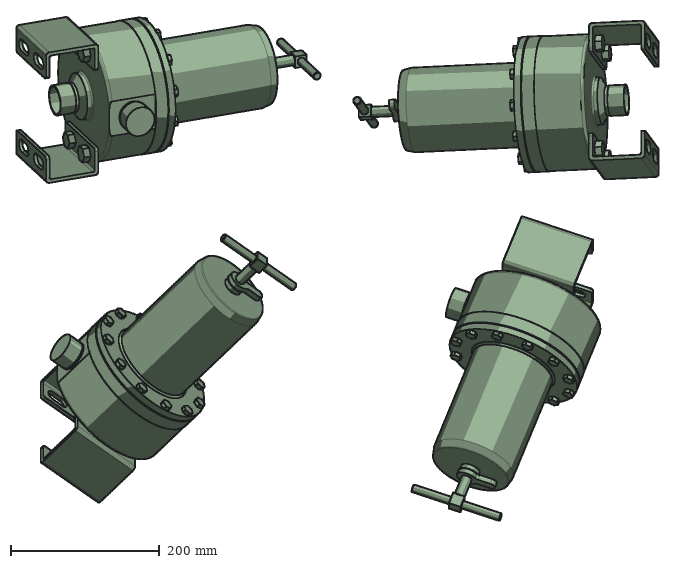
import cadquery as cq
import math


full_turn = 360

body_radius = 91.0
body_top = 67.5
body_edge_radius = 4.0
port_flat_x = 87.5
flange_radius = 91.5
flange_thickness = 17.0
gasket_radius = 91.0
gasket_thickness = 1.0
cover_thickness = 9.5

canister_radius = 57.0
canister_end_radius = 54.5
canister_shoulder = 249.3
canister_top = 261.0
canister_base_chamfer = 2.8
canister_edge_radius = 1.0

hex_sides = 6
hex_half_step = 180 / hex_sides

cover_bolt_count = 12
cover_bolt_circle_radius = 83.5
cover_bolt_across_corners = 15.0
cover_bolt_height = 5.5

boss_radius = 13.0
boss_height = 7.0
lever_thickness = 7.5
lever_hub_radius = 14.5
lever_half_width = 6.8
lever_reach = 40.5
lever_root_radius = 5.5
stem_radius = 7.0
handle_block = 16.8
handle_top = 322.8
rod_diameter = 10.8
rod_length = 126.2
rod_chamfer = 0.8
rod_offset = 0.5

pipe_radius = 20.8
port_end_x = 111.5
port_y = 35.0
pipe_neck_radius = 20.5
port_neck_length = 2.5
nozzle_length = 42.0
nozzle_bore_radius = 18.8
nozzle_base_radius = 32.0
nozzle_base_length = 8.0
nozzle_base_fillet = 2.5
nozzle_cone_end = 15.0
nozzle_neck_end = 19.5

bracket_width = 102.0
bracket_depth = 76.5
bracket_height = 38.7
bracket_span = 191.5
bracket_thickness = 5.0
bend_outer_radius = 4.8
bend_inner_radius = 3.0
bracket_corner_radius = 4.0
mount_spacing = 50.7
mount_z = 73.5
slot_length = 32.5
slot_width = 16.8
mount_bolt_across_flats = 20.0
mount_bolt_height = 9.5

gasket_bottom = body_top + flange_thickness
cover_bottom = gasket_bottom + gasket_thickness
cover_top = cover_bottom + cover_thickness
boss_top = canister_top + boss_height
lever_top = boss_top + lever_thickness
bracket_outer_z = bracket_span / 2


def plane_at(y):
    """Plane across the main axis: local x is X, local y is Z, normal is -Y."""
    return cq.Workplane("XZ", origin=(0, y, 0))


def disc(radius, y_start, y_end):
    return plane_at(y_start).circle(radius).extrude(y_start - y_end)


def make_body():
    body = disc(body_radius, 0, body_top).faces("<Y").edges().fillet(body_edge_radius)
    flat_cut = cq.Workplane("XY").box(
        body_radius, body_top, 2 * body_radius, centered=(False, False, True)
    )
    body = body.cut(flat_cut.translate((port_flat_x, 0, 0)))
    flange = disc(flange_radius, body_top, gasket_bottom)
    gasket = disc(gasket_radius, gasket_bottom, cover_bottom)
    cover = disc(flange_radius, cover_bottom, cover_top)
    return body.union(flange).union(gasket).union(cover)


def make_canister():
    profile = [
        (0, cover_top),
        (canister_radius + canister_base_chamfer, cover_top),
        (canister_radius, cover_top + canister_base_chamfer),
        (canister_radius, canister_shoulder),
        (canister_end_radius, canister_top),
        (0, canister_top),
    ]
    canister = cq.Workplane("XY").polyline(profile).close().revolve(full_turn, (0, 0), (0, 1))
    return canister.faces(">Y").edges().fillet(canister_edge_radius)


def make_cover_bolts():
    step = full_turn / cover_bolt_count
    bolt = (
        plane_at(cover_top)
        .center(cover_bolt_circle_radius, 0)
        .transformed(rotate=(0, 0, hex_half_step))
        .polygon(hex_sides, cover_bolt_across_corners)
        .extrude(-cover_bolt_height)
    )
    bolts = cq.Workplane("XY")
    for index in range(cover_bolt_count):
        bolts = bolts.add(bolt.rotate((0, 0, 0), (0, 1, 0), (index + 0.5) * step))
    return bolts.combine()


def make_lever():
    """Round hub with a round-ended arm toward -X, blended into the hub."""
    hub = disc(lever_hub_radius, boss_top, lever_top)
    arm_end_x = lever_half_width - lever_reach
    arm = (
        plane_at(boss_top)
        .center(arm_end_x / 2, 0)
        .rect(-arm_end_x, 2 * lever_half_width)
        .extrude(-lever_thickness)
    )
    root_x = -math.sqrt(lever_hub_radius**2 - lever_half_width**2)
    root_margin = 0.5
    near_root = cq.selectors.BoxSelector(
        (root_x - root_margin, boss_top, -lever_hub_radius),
        (root_x + root_margin, lever_top, lever_hub_radius),
    )
    lever = hub.union(arm).edges("|Y").edges(near_root).fillet(lever_root_radius)
    arm_end = disc(lever_half_width, boss_top, lever_top).translate((arm_end_x, 0, 0))
    return lever.union(arm_end)


def make_handle():
    boss = disc(boss_radius, canister_top, boss_top)
    block_y = handle_top - handle_block / 2
    stem = disc(stem_radius, boss_top, block_y)
    block = cq.Workplane("XY").box(handle_block, handle_block, handle_block)
    rod = (
        cq.Workplane("YZ")
        .circle(rod_diameter / 2)
        .extrude(rod_length / 2, both=True)
        .faces("<X or >X")
        .edges()
        .chamfer(rod_chamfer)
    )
    handle = boss.union(stem).union(make_lever())
    handle = handle.union(block.translate((0, block_y, 0)))
    return handle.union(rod.translate((0, block_y + rod_offset, 0)))


def make_port():
    neck_end_x = port_flat_x + port_neck_length
    neck = cq.Workplane("YZ").center(port_y, 0).circle(pipe_neck_radius).extrude(neck_end_x)
    pipe = (
        cq.Workplane("YZ", origin=(neck_end_x, port_y, 0))
        .circle(pipe_radius)
        .extrude(port_end_x - neck_end_x)
    )
    return neck.union(pipe)


def make_nozzle():
    """Open pipe with a conical shoulder; the bore stops at the neck."""
    return (
        cq.Workplane("XY")
        .lineTo(0, -nozzle_neck_end)
        .lineTo(nozzle_bore_radius, -nozzle_neck_end)
        .lineTo(nozzle_bore_radius, -nozzle_length)
        .lineTo(pipe_radius, -nozzle_length)
        .lineTo(pipe_radius, -nozzle_neck_end)
        .lineTo(pipe_neck_radius, -nozzle_neck_end)
        .lineTo(pipe_neck_radius, -nozzle_cone_end)
        .lineTo(nozzle_base_radius, -nozzle_base_length)
        .lineTo(nozzle_base_radius, -nozzle_base_fillet)
        .tangentArcPoint((nozzle_base_radius + nozzle_base_fillet, 0), relative=False)
        .close()
        .revolve(full_turn, (0, 0), (0, 1))
    )


def make_bracket():
    """Upper U-shaped bracket, open toward the axis, with its two mounting bolts."""
    inner_z = bracket_outer_z - bracket_height
    web_z = bracket_outer_z - bracket_thickness
    mount_points = [(-mount_spacing / 2, mount_z), (mount_spacing / 2, mount_z)]
    outer = (
        cq.Workplane("XY")
        .box(bracket_width, bracket_depth, bracket_height)
        .edges("|X and >Z")
        .fillet(bend_outer_radius)
        .edges("|Y and <Z")
        .fillet(bracket_corner_radius)
        .translate((0, -bracket_depth / 2, bracket_outer_z - bracket_height / 2))
    )
    channel = (
        cq.Workplane("XY")
        .box(bracket_width, bracket_depth - 2 * bracket_thickness, web_z - inner_z)
        .edges("|X and >Z")
        .fillet(bend_inner_radius)
        .translate((0, -bracket_depth / 2, (web_z + inner_z) / 2))
    )
    slots = (
        plane_at(bracket_thickness - bracket_depth)
        .pushPoints(mount_points)
        .slot2D(slot_length, slot_width)
        .extrude(bracket_thickness)
    )
    bolts = (
        plane_at(-bracket_thickness)
        .pushPoints(mount_points)
        .polygon(hex_sides, mount_bolt_across_flats / math.cos(math.pi / hex_sides))
        .extrude(mount_bolt_height)
    )
    return outer.cut(channel).cut(slots).union(bolts)


upper_bracket = make_bracket()
lower_bracket = upper_bracket.mirror("XY")

result = (
    make_body()
    .union(make_canister())
    .union(make_cover_bolts())
    .union(make_handle())
    .union(make_port())
    .union(make_nozzle())
    .union(upper_bracket)
    .union(lower_bracket)
)